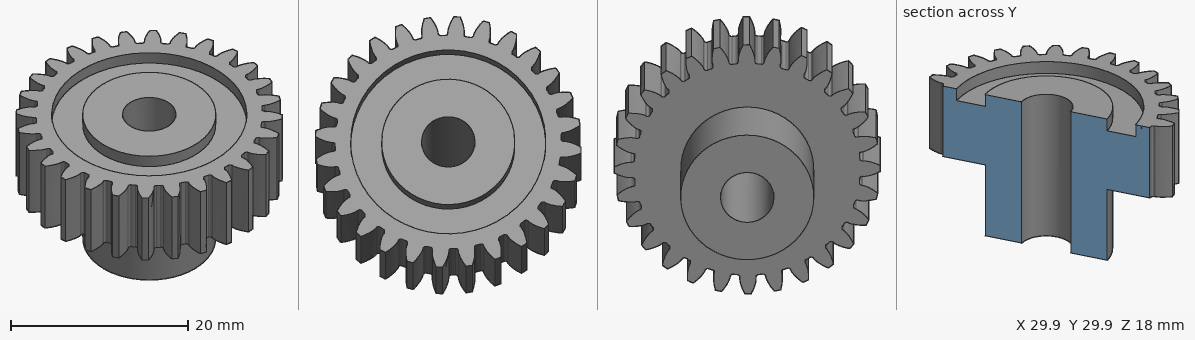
import cadquery as cq
import math

overall_width = 29.88
tooth_count = 28
pressure_angle = math.radians(20)
addendum_factor = 1.0
dedendum_factor = 1.25
root_fillet = 0.3
flank_points = 6

overall_height = 18.0
gear_height = overall_height / 2
hub_diameter = 15.0
bore_diameter = 6.0
recess_diameter = 22.0
recess_depth = 1.5


def involute(angle):
    return math.tan(angle) - angle


def tooth_half_angle(base_ratio):
    """Half the tooth's angular thickness at the radius where base radius / radius = base_ratio."""
    half_angle_at_pitch = math.pi / (2 * tooth_count)
    return half_angle_at_pitch + involute(pressure_angle) - involute(math.acos(base_ratio))


pitch_angle = 2 * math.pi / tooth_count
tip_base_ratio = tooth_count * math.cos(pressure_angle) / (tooth_count + 2 * addendum_factor)
tip_gap_half_angle = pitch_angle / 2 - tooth_half_angle(tip_base_ratio)
tip_radius = overall_width / 2 / math.cos(tip_gap_half_angle)

module = tip_radius / (tooth_count / 2 + addendum_factor)
pitch_radius = module * tooth_count / 2
base_radius = pitch_radius * math.cos(pressure_angle)
root_radius = pitch_radius - dedendum_factor * module


def polar(radius, angle):
    return (radius * math.cos(angle), radius * math.sin(angle))


def flank(center_angle, side):
    """Points of one involute flank from base to tip; side is -1 or +1 about the tooth's centre line."""
    points = []
    for i in range(flank_points):
        radius = base_radius + (tip_radius - base_radius) * i / (flank_points - 1)
        half_angle = tooth_half_angle(base_radius / radius)
        points.append(polar(radius, center_angle + side * half_angle))
    return points


def toothed_blank():
    base_half_angle = tooth_half_angle(1.0)
    first_angle = pitch_angle / 2
    outline = cq.Workplane("XY").moveTo(*polar(root_radius, first_angle - base_half_angle))
    for tooth in range(tooth_count):
        center = first_angle + tooth * pitch_angle
        rising = flank(center, -1)
        falling = flank(center, 1)[::-1]
        gap_center = center + pitch_angle / 2
        next_tooth_start = center + pitch_angle - base_half_angle
        outline = (
            outline.lineTo(*rising[0])
            .spline(rising[1:], includeCurrent=True)
            .threePointArc(polar(tip_radius, center), falling[0])
            .spline(falling[1:], includeCurrent=True)
            .lineTo(*polar(root_radius, center + base_half_angle))
            .threePointArc(polar(root_radius, gap_center), polar(root_radius, next_tooth_start))
        )
    return outline.close().extrude(gear_height)


def is_root_edge(edge):
    center = edge.Center()
    return math.hypot(center.x, center.y) < (root_radius + base_radius) / 2


gear = toothed_blank().edges("|Z").filter(is_root_edge).fillet(root_fillet)

recess = (
    cq.Workplane("XY", origin=(0, 0, gear_height - recess_depth))
    .circle(recess_diameter / 2)
    .circle(hub_diameter / 2)
    .extrude(recess_depth)
)

hub_height = overall_height - gear_height
hub = cq.Workplane("XY").circle(hub_diameter / 2).extrude(-hub_height)

bore = (
    cq.Workplane("XY", origin=(0, 0, -hub_height))
    .circle(bore_diameter / 2)
    .extrude(overall_height)
)

result = gear.cut(recess).union(hub).cut(bore)